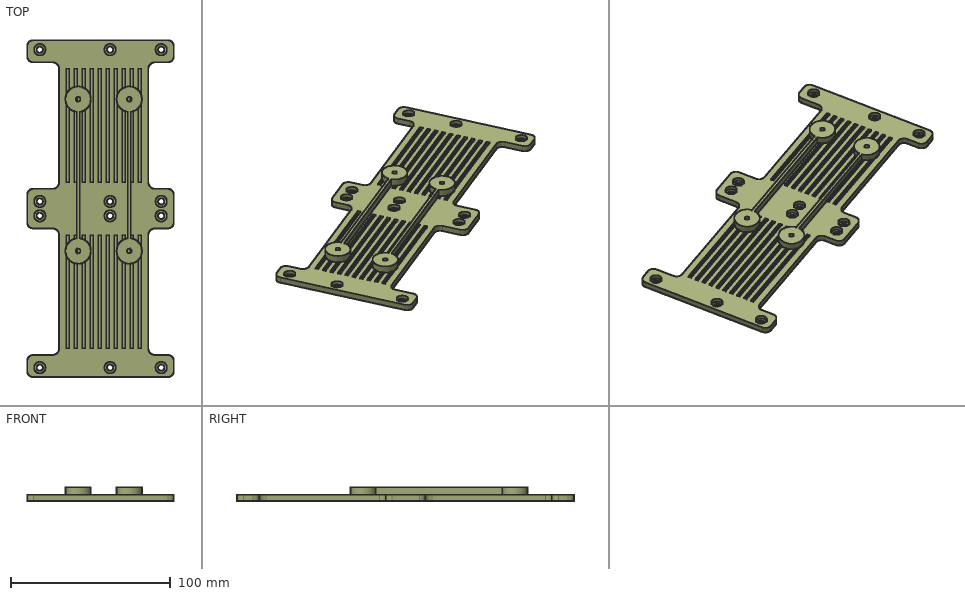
import cadquery as cq

PLATE_LENGTH = 211.0
PLATE_WIDTH = 92.0
PLATE_THICKNESS = 4.0
TOTAL_HEIGHT = 8.7
WEB_WIDTH = 56.0
WEB_LEFT_SETBACK = 20.0
END_BAR_DEPTH = 14.0
MIDDLE_BAR_DEPTH = 25.0
CORNER_RADIUS = 4.0

HOLE_DIAMETER = 3.8
COUNTERBORE_DIAMETER = 7.2
COUNTERBORE_DEPTH = 2.5
HOLE_SIDE_INSET = 8.0
INNER_HOLE_SPACING = 32.0
HOLE_END_INSET = 6.0
MIDDLE_ROW_SPACING = 9.0

GROOVE_COUNT = 10
GROOVE_PITCH = 5.0
GROOVE_WIDTH = 2.0
GROOVE_DEPTH = 2.0
GROOVE_END_MARGIN = 4.0

BOSS_DIAMETER = 16.0
BOSS_HOLE_DIAMETER = 2.9
BOSS_SPACING_X = 32.0
BOSS_SPACING_Y = 95.0
BOSS_LEFT_INSET = 32.0
BOSS_BACK_INSET = 37.0
RIB_WIDTH = 2.0

LEFT = -PLATE_WIDTH / 2
RIGHT = PLATE_WIDTH / 2
BACK = PLATE_LENGTH / 2
BOSS_HEIGHT = TOTAL_HEIGHT - PLATE_THICKNESS
WEB_X = LEFT + WEB_LEFT_SETBACK + WEB_WIDTH / 2
END_BAR_Y = BACK - END_BAR_DEPTH / 2
PANEL_LENGTH = BACK - END_BAR_DEPTH - MIDDLE_BAR_DEPTH / 2
PANEL_Y = (MIDDLE_BAR_DEPTH + PANEL_LENGTH) / 2
BOSS_COLUMNS = [LEFT + BOSS_LEFT_INSET, LEFT + BOSS_LEFT_INSET + BOSS_SPACING_X]
BOSS_ROWS = [BACK - BOSS_BACK_INSET, BACK - BOSS_BACK_INSET - BOSS_SPACING_Y]


def make_bar(y, depth):
    """Cross bar over the full plate width, centred on y."""
    return cq.Workplane("XY").center(0, y).rect(PLATE_WIDTH, depth).extrude(PLATE_THICKNESS)


def make_plate():
    """Web and cross bars with every outside and inside corner rounded."""
    web_length = PLATE_LENGTH - END_BAR_DEPTH
    plate = cq.Workplane("XY").center(WEB_X, 0).rect(WEB_WIDTH, web_length).extrude(PLATE_THICKNESS)
    plate = plate.union(make_bar(0, MIDDLE_BAR_DEPTH))
    for side in (-1, 1):
        plate = plate.union(make_bar(side * END_BAR_Y, END_BAR_DEPTH))
    return plate.clean().edges("|Z").fillet(CORNER_RADIUS)


def cut_grooves(body):
    """Blind grooves in the top face, evenly spaced across both web panels."""
    length = PANEL_LENGTH - 2 * GROOVE_END_MARGIN
    for side in (-1, 1):
        grooves = (
            cq.Workplane("XY", origin=(WEB_X, side * PANEL_Y, PLATE_THICKNESS))
            .rarray(GROOVE_PITCH, 1, GROOVE_COUNT, 1)
            .rect(GROOVE_WIDTH, length)
            .extrude(-GROOVE_DEPTH)
        )
        body = body.cut(grooves)
    return body


def cut_mounting_holes(body):
    """Four rows of three counterbored through holes."""
    right_x = RIGHT - HOLE_SIDE_INSET
    columns = [LEFT + HOLE_SIDE_INSET, right_x - INNER_HOLE_SPACING, right_x]
    outer_row = BACK - HOLE_END_INSET
    inner_row = MIDDLE_ROW_SPACING / 2
    rows = [-outer_row, -inner_row, inner_row, outer_row]
    return (
        body.faces(">Z")
        .workplane(origin=(0, 0, PLATE_THICKNESS))
        .pushPoints([(x, y) for x in columns for y in rows])
        .cboreHole(HOLE_DIAMETER, COUNTERBORE_DIAMETER, COUNTERBORE_DEPTH)
    )


def add_bosses_and_ribs(body):
    """Four bosses standing on the plate, with a rib between the two in each column."""
    top = cq.Workplane("XY", origin=(0, 0, PLATE_THICKNESS))
    rib_y = sum(BOSS_ROWS) / 2
    for x in BOSS_COLUMNS:
        rib = top.center(x, rib_y).rect(RIB_WIDTH, BOSS_SPACING_Y).extrude(BOSS_HEIGHT)
        body = body.union(rib)
    centres = [(x, y) for x in BOSS_COLUMNS for y in BOSS_ROWS]
    bosses = top.pushPoints(centres).circle(BOSS_DIAMETER / 2).extrude(BOSS_HEIGHT)
    bores = top.pushPoints(centres).circle(BOSS_HOLE_DIAMETER / 2).extrude(BOSS_HEIGHT)
    return body.union(bosses).cut(bores)


result = make_plate()
result = cut_grooves(result)
result = cut_mounting_holes(result)
result = add_bosses_and_ribs(result)